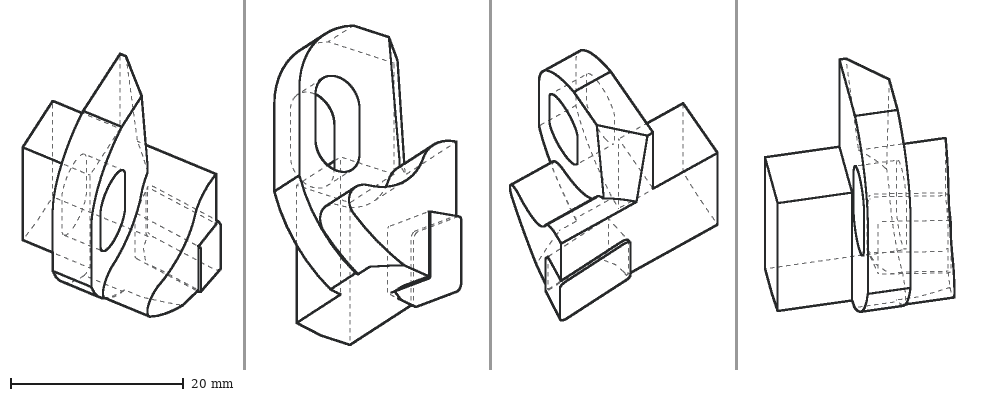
import cadquery as cq
import math


SHANK_LENGTH = 8.78
SHANK_DEPTH = 7.55
SHANK_TOP = 20.23

PLATE_THICKNESS = 5.03
PLATE_END = SHANK_LENGTH + PLATE_THICKNESS
PLATE_DEPTH = 16.97
PLATE_TOP = 34.7
PLATE_TOP_DEPTH = 9.3
PLATE_SHOULDER = 24.25
PLATE_WAIST = 12.9
LOWER_ARC_MID = (-13.75, 6.8)
LOWER_ARC_END = (-6.7, 1.35)
LOWER_ARC_NEAR_END = (-10.48, 3.8)

SLOT_Y = -11.55
SLOT_WIDTH = 6.2
SLOT_BOTTOM = 15.1
SLOT_TOP = 27.35

CHAMFER_TOP = 4.27
CHAMFER_LOW = 2.78

ARM_TOP = 19.2
ARM_CREST_RADIUS = 4.55
ARM_HOLLOW_RADIUS = 7.45
ARM_ARC_ANGLE = math.radians(73)
ARM_EDGE_RADIUS = 2.55
EDGE_END_ANGLE = math.radians(217)
ARM_END = 21.3
RELIEF_ANGLE = 7.0

BOTTOM = 1.7
FLAT_BOTTOM_DEPTH = 4.1
CLEARANCE_SLOPE = math.tan(math.radians(10))
NOSE_FRONT_HEIGHT = 0.7
NOSE_BACK_HEIGHT = 0.35
NOSE_START = 16.15

INSERT_RIGHT = 21.7
INSERT_WIDTH = 9.58
INSERT_SLOPE = math.radians(10)
INSERT_SIDE = INSERT_WIDTH / math.cos(INSERT_SLOPE)
INSERT_CORNER_RADIUS = 0.8
INSERT_PROUD = 0.4
INSERT_THICKNESS = 4.03

MARGIN = 3.47


def polar(center, radius, angle):
    """Point at an angle from +Y toward +Z, in the YZ plane."""
    return center[0] + radius * math.cos(angle), center[1] + radius * math.sin(angle)


def make_shank():
    return cq.Workplane("XY").box(
        SHANK_LENGTH, SHANK_DEPTH, SHANK_TOP, centered=False
    ).translate((0, -SHANK_DEPTH, 0))


def make_plate():
    rise = PLATE_TOP - PLATE_SHOULDER
    run = PLATE_DEPTH - PLATE_TOP_DEPTH
    radius = (rise**2 + run**2) / (2 * run)
    center = (radius - PLATE_DEPTH, PLATE_SHOULDER)
    half_angle = math.asin(rise / radius) / 2
    plate = (
        cq.Workplane("YZ", origin=(SHANK_LENGTH, 0, 0))
        .moveTo(0, PLATE_TOP)
        .lineTo(-PLATE_TOP_DEPTH, PLATE_TOP)
        .threePointArc(polar(center, radius, math.pi - half_angle), (-PLATE_DEPTH, PLATE_SHOULDER))
        .lineTo(-PLATE_DEPTH, PLATE_WAIST)
        .threePointArc(LOWER_ARC_MID, LOWER_ARC_END)
        .lineTo(0, 0)
        .close()
        .extrude(PLATE_THICKNESS)
    )
    slot = (
        cq.Workplane("YZ", origin=(SHANK_LENGTH, SLOT_Y, (SLOT_BOTTOM + SLOT_TOP) / 2))
        .slot2D(SLOT_TOP - SLOT_BOTTOM, SLOT_WIDTH, 90)
        .extrude(PLATE_THICKNESS)
    )
    return plate.cut(slot).cut(make_corner_chamfer())


def make_corner_chamfer():
    def corner_triangle(workplane, size):
        return workplane.polyline([(PLATE_END, 0), (PLATE_END - size, 0), (PLATE_END, -size)]).close()

    low = corner_triangle(cq.Workplane("XY", origin=(0, 0, ARM_TOP)), CHAMFER_LOW)
    high = low.workplane(offset=PLATE_TOP - ARM_TOP)
    chamfer = corner_triangle(high, CHAMFER_TOP).loft(ruled=True)
    below = corner_triangle(cq.Workplane("XY"), CHAMFER_LOW).extrude(ARM_TOP)
    return chamfer.union(below)


def make_arm():
    crest_center = (0, ARM_TOP - ARM_CREST_RADIUS)
    crest_mid = polar(crest_center, ARM_CREST_RADIUS, math.pi / 2 + ARM_ARC_ANGLE / 2)
    joint_angle = math.pi / 2 + ARM_ARC_ANGLE
    joint = polar(crest_center, ARM_CREST_RADIUS, joint_angle)
    hollow_center = polar(crest_center, ARM_CREST_RADIUS + ARM_HOLLOW_RADIUS, joint_angle)
    hollow_mid = polar(hollow_center, ARM_HOLLOW_RADIUS, (ARM_ARC_ANGLE - math.pi) / 2)
    hollow_end = (hollow_center[0], hollow_center[1] - ARM_HOLLOW_RADIUS)
    edge_center = (hollow_end[0], hollow_end[1] - ARM_EDGE_RADIUS)
    edge_front = polar(edge_center, ARM_EDGE_RADIUS, math.pi)
    edge_end = polar(edge_center, ARM_EDGE_RADIUS, EDGE_END_ANGLE)
    arm = (
        cq.Workplane("YZ", origin=(SHANK_LENGTH, 0, 0))
        .moveTo(0, ARM_TOP)
        .threePointArc(crest_mid, joint)
        .threePointArc(hollow_mid, hollow_end)
        .threePointArc(edge_front, edge_end)
        .threePointArc(LOWER_ARC_NEAR_END, LOWER_ARC_END)
        .lineTo(INSERT_PROUD - INSERT_THICKNESS, NOSE_FRONT_HEIGHT)
        .lineTo(0, NOSE_BACK_HEIGHT)
        .close()
        .extrude(ARM_END - SHANK_LENGTH)
    )
    reach = PLATE_DEPTH + MARGIN
    end_relief = (
        cq.Workplane("XY")
        .polyline([
            (ARM_END, 0),
            (ARM_END, -reach),
            (ARM_END - reach * math.tan(math.radians(RELIEF_ANGLE)), -reach),
        ])
        .close()
        .extrude(PLATE_TOP)
    )
    return arm.cut(end_relief)


def make_bottom_trim():
    """Everything below the flat bottom and its sloping front clearance."""
    front = -PLATE_DEPTH
    front_height = BOTTOM + (PLATE_DEPTH - FLAT_BOTTOM_DEPTH) * CLEARANCE_SLOPE
    return (
        cq.Workplane("YZ")
        .polyline([
            (MARGIN, BOTTOM),
            (-FLAT_BOTTOM_DEPTH, BOTTOM),
            (front, front_height),
            (front, -MARGIN),
            (MARGIN, -MARGIN),
        ])
        .close()
        .extrude(ARM_END)
    )


def make_nose_trim():
    """Everything below the nose face, which slopes along both X and Y."""
    size = 4 * PLATE_TOP
    plane = cq.Plane(
        origin=(NOSE_START, -FLAT_BOTTOM_DEPTH, BOTTOM),
        xDir=(1, 0, -CLEARANCE_SLOPE),
        normal=(CLEARANCE_SLOPE, CLEARANCE_SLOPE, 1),
    )
    return cq.Workplane(plane).rect(size, size).extrude(-size)


def make_insert():
    slope = INSERT_SLOPE
    drop = INSERT_WIDTH * math.tan(slope)
    corner_offset = INSERT_CORNER_RADIUS * ((1 + math.sin(slope)) / math.cos(slope) - 1)
    left = INSERT_RIGHT - INSERT_WIDTH
    low = -corner_offset
    outline = [
        (INSERT_RIGHT, low),
        (INSERT_RIGHT, low + INSERT_SIDE),
        (left, low + INSERT_SIDE + drop),
        (left, low + drop),
    ]
    blank = cq.Workplane("XZ").polyline(outline).close().extrude(0.35).edges("|Y").fillet(INSERT_CORNER_RADIUS)
    return (
        blank.faces(">Y").wires().toPending()
        .workplane(invert=True)
        .extrude(INSERT_THICKNESS, taper=RELIEF_ANGLE, combine=False)
        .translate((0, INSERT_PROUD, 0))
    )


def make_holder(insert):
    arm = make_arm()
    body = make_shank().union(make_plate()).union(arm).cut(make_bottom_trim())
    nose = arm.cut(make_nose_trim())
    return body.union(nose).cut(insert)


insert = make_insert()
holder = make_holder(insert)
result = cq.Compound.makeCompound([holder.solids().val(), insert.solids().val()])